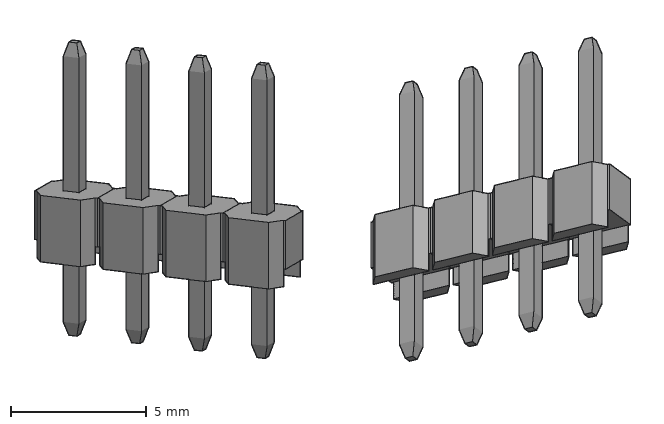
import cadquery as cq

pin_count = 4
row_length = 10.16
pitch = row_length / pin_count

housing_depth = 2.54
housing_height = 2.54
end_face_width = 1.55
end_tab_length = 0.09
side_face_length = 1.61
channel_width = 1.46
channel_height = 0.68

pin_length = 11.2
pin_width = 0.64
tip_width = 0.32
tip_length = 0.53
pin_tail = 3.0


def square_bar(width, bottom, length):
    """Upright square bar centred on the Z axis."""
    return cq.Workplane("XY").workplane(offset=bottom).rect(width, width).extrude(length)


def add_tip(body, end_face):
    """Narrow the bar beyond its selected end face to the smaller tip square."""
    return (
        body.faces(end_face).workplane()
        .rect(pin_width, pin_width)
        .workplane(offset=tip_length)
        .rect(tip_width, tip_width)
        .loft(combine=True)
    )


def make_pin():
    """Square pin whose two ends narrow to a smaller square."""
    shank = square_bar(pin_width, tip_length - pin_tail, pin_length - 2 * tip_length)
    pin = add_tip(shank, ">Z")
    pin = add_tip(pin, "<Z")
    return pin.solids().val()


def make_housing():
    """Bevelled block with end tabs, an underside channel and a pin hole."""
    tab_x = pitch / 2
    bevel_x = tab_x - end_tab_length
    bevel_y = end_face_width / 2
    tabs = (
        cq.Workplane("XY").workplane(offset=channel_height)
        .rect(pitch, end_face_width)
        .extrude(housing_height - channel_height)
    )

    side_x = side_face_length / 2
    side_y = housing_depth / 2
    outline = [
        (-bevel_x, -bevel_y),
        (-side_x, -side_y),
        (side_x, -side_y),
        (bevel_x, -bevel_y),
        (bevel_x, bevel_y),
        (side_x, side_y),
        (-side_x, side_y),
        (-bevel_x, bevel_y),
    ]
    block = cq.Workplane("XY").polyline(outline).close().extrude(housing_height)
    channel = cq.Workplane("XY").rect(pitch, channel_width).extrude(channel_height)
    hole = square_bar(pin_width, 0, housing_height)
    return block.union(tabs).cut(channel).cut(hole).solids().val()


housing = make_housing()
pin = make_pin()
housings = []
pins = []
for index in range(pin_count):
    position = cq.Vector((index - (pin_count - 1) / 2) * pitch, 0, 0)
    housings.append(housing.translate(position))
    pins.append(pin.translate(position))

result = cq.Compound.makeCompound([*housings, *pins])